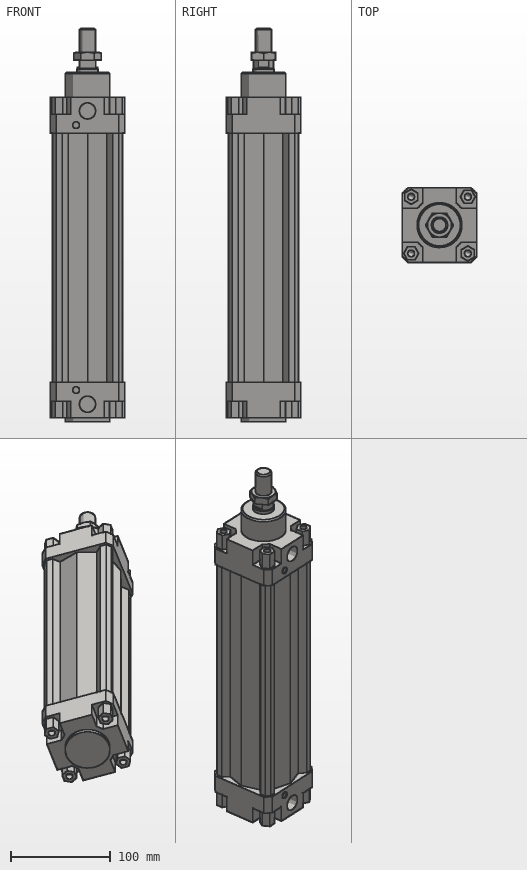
import cadquery as cq
import math

TOTAL_LENGTH = 394.0
REAR_BOSS_HEIGHT = 4.0
FRONT_CAP_TOP = 325.0
FRONT_BOSS_HEIGHT = 25.0
COLLAR_HEIGHT = 4.0
SHOULDER_BELOW_TIP = 32.0
FRONT_BOSS_TOP = FRONT_CAP_TOP + FRONT_BOSS_HEIGHT
COLLAR_TOP = FRONT_BOSS_TOP + COLLAR_HEIGHT
SHOULDER_Z = TOTAL_LENGTH - SHOULDER_BELOW_TIP

CAP_WIDTH = 75.0
CAP_HEIGHT = 36.0
CAP_CORNER_CHAMFER = 6.0
POCKET_INNER_OFFSET = 17.0
POCKET_DEPTH = 17.0
POCKET_CORNER_CHAMFER = 5.0
BOSS_DIAMETER = 45.0
BOSS_CHAMFER = 1.5
COLLAR_DIAMETER = 21.3

BOLT_OFFSET = 28.5
BOLT_ACROSS_FLATS = 13.0
BOLT_HOLE_DIAMETER = 6.7
BOLT_HOLE_DEPTH = 8.0
BOLT_HOLE_CONE_DEPTH = 2.0

PORT_DIAMETER = 16.0
PORT_DEPTH = 15.8
PORT_FROM_CAP_END = 13.8
SCREW_DIAMETER = 6.7
SCREW_DEPTH = 1.0
SCREW_X = -11.5
SCREW_FROM_CAP_END = 28.0

BARREL_WIDTH = 70.0
BARREL_CORNER_CHAMFER = 4.0
BARREL_GROOVE_OUTER = 25.2
BARREL_GROOVE_DEPTH = 6.0

ROD_DIAMETER = 20.0
ROD_ACROSS_FLATS = 17.0
FLATS_LENGTH = 7.0
COLLAR_CHAMFER = (COLLAR_DIAMETER - ROD_DIAMETER) / 2
THREAD_DIAMETER = 16.0
THREAD_CHAMFER = 1.5
NUT_ACROSS_FLATS = 24.0
NUT_HEIGHT = 8.0
NUT_CHAMFER_ANGLE = 30.0


def hexagon_corner_diameter(across_flats):
    return across_flats / math.cos(math.radians(30))


def cylinder(diameter, height, base_z):
    return cq.Workplane("XY").workplane(offset=base_z).circle(diameter / 2).extrude(height)


def hexagonal_prism(across_flats, height, base_z):
    corner_diameter = hexagon_corner_diameter(across_flats)
    return cq.Workplane("XY").workplane(offset=base_z).polygon(6, corner_diameter).extrude(height)


def make_corner_pocket():
    """Pocket tool for the +X +Y corner, open to both sides and to the outer cap end."""
    side = CAP_WIDTH / 2 - POCKET_INNER_OFFSET
    middle = POCKET_INNER_OFFSET + side / 2
    return (
        cq.Workplane("XY")
        .workplane(offset=CAP_HEIGHT - POCKET_DEPTH)
        .center(middle, middle)
        .rect(side, side)
        .extrude(POCKET_DEPTH)
        .edges("|Z and <X and <Y")
        .chamfer(POCKET_CORNER_CHAMFER)
    )


def make_tie_bolt():
    """Hexagonal bolt head with a drilled hole ending in a cone, standing in the +X +Y pocket."""
    head = hexagonal_prism(BOLT_ACROSS_FLATS, POCKET_DEPTH, CAP_HEIGHT - POCKET_DEPTH)
    hole_radius = BOLT_HOLE_DIAMETER / 2
    shoulder_z = CAP_HEIGHT - BOLT_HOLE_DEPTH
    hole = (
        cq.Workplane("XZ")
        .moveTo(0, shoulder_z - BOLT_HOLE_CONE_DEPTH)
        .lineTo(hole_radius, shoulder_z)
        .lineTo(hole_radius, CAP_HEIGHT)
        .lineTo(0, CAP_HEIGHT)
        .close()
        .revolve(360, (0, 0, 0), (0, 1, 0))
    )
    return head.cut(hole).translate((BOLT_OFFSET, BOLT_OFFSET, 0))


def make_cap():
    """Cap with its barrel side at Z = 0 and its outer end facing +Z."""
    cap = (
        cq.Workplane("XY")
        .rect(CAP_WIDTH, CAP_WIDTH)
        .extrude(CAP_HEIGHT)
        .edges("|Z")
        .chamfer(CAP_CORNER_CHAMFER)
    )
    pocket = make_corner_pocket()
    bolt = make_tie_bolt()
    for corner in range(4):
        angle = 90 * corner
        cap = cap.cut(pocket.rotate((0, 0, 0), (0, 0, 1), angle))
        cap = cap.union(bolt.rotate((0, 0, 0), (0, 0, 1), angle))
    front_face = cq.Workplane("XZ", origin=(0, -CAP_WIDTH / 2, 0))
    port = (
        front_face.center(0, CAP_HEIGHT - PORT_FROM_CAP_END)
        .circle(PORT_DIAMETER / 2)
        .extrude(-PORT_DEPTH)
    )
    screw_recess = (
        front_face.center(SCREW_X, CAP_HEIGHT - SCREW_FROM_CAP_END)
        .circle(SCREW_DIAMETER / 2)
        .extrude(-SCREW_DEPTH)
    )
    return cap.cut(port).cut(screw_recess)


def make_barrel(length):
    """Square barrel whose sides fall away from a middle ridge into a groove near each corner."""
    half = BARREL_WIDTH / 2
    chamfer_start = half - BARREL_CORNER_CHAMFER
    groove_inner = BARREL_GROOVE_OUTER - BARREL_GROOVE_DEPTH
    groove_floor = half - BARREL_GROOVE_DEPTH
    side = [
        (-chamfer_start, -half),
        (-BARREL_GROOVE_OUTER, -half),
        (-groove_inner, -groove_floor),
        (0, -half),
        (groove_inner, -groove_floor),
        (BARREL_GROOVE_OUTER, -half),
        (chamfer_start, -half),
    ]
    outline = []
    for _ in range(4):
        outline.extend(side)
        side = [(-y, x) for x, y in side]
    return cq.Workplane("XY").polyline(outline).close().extrude(length)


def make_housing():
    """Barrel with both caps, the end bosses and the collar around the rod."""
    front_cap_base = FRONT_CAP_TOP - CAP_HEIGHT
    rear_cap_top = REAR_BOSS_HEIGHT + CAP_HEIGHT
    cap = make_cap()
    front_cap = cap.translate((0, 0, front_cap_base))
    rear_cap = cap.mirror("XY").translate((0, 0, rear_cap_top))
    barrel = make_barrel(front_cap_base - rear_cap_top).translate((0, 0, rear_cap_top))
    front_boss = (
        cylinder(BOSS_DIAMETER, FRONT_BOSS_HEIGHT, FRONT_CAP_TOP).faces(">Z").chamfer(BOSS_CHAMFER)
    )
    rear_boss = cylinder(BOSS_DIAMETER, REAR_BOSS_HEIGHT, 0)
    collar = (
        cylinder(COLLAR_DIAMETER, COLLAR_HEIGHT, FRONT_BOSS_TOP).faces(">Z").chamfer(COLLAR_CHAMFER)
    )
    housing = barrel
    for piece in (front_cap, rear_cap, front_boss, rear_boss, collar):
        housing = housing.union(piece)
    return housing


def make_rod():
    """Piston rod standing on the collar, with wrench flats facing X and a plain thread shank."""
    shank = cylinder(ROD_DIAMETER, SHOULDER_Z - COLLAR_TOP, COLLAR_TOP)
    flat_middle_x = (ROD_ACROSS_FLATS + ROD_DIAMETER) / 2
    flats = (
        cq.Workplane("XY")
        .workplane(offset=SHOULDER_Z - FLATS_LENGTH)
        .pushPoints([(-flat_middle_x, 0), (flat_middle_x, 0)])
        .rect(ROD_DIAMETER, ROD_DIAMETER)
        .extrude(FLATS_LENGTH)
    )
    thread = (
        cylinder(THREAD_DIAMETER, SHOULDER_BELOW_TIP, SHOULDER_Z).faces(">Z").chamfer(THREAD_CHAMFER)
    )
    return shank.cut(flats).union(thread)


def make_nut():
    """Hexagon nut resting on the rod shoulder, its top corners cut by a cone."""
    blank = hexagonal_prism(NUT_ACROSS_FLATS, NUT_HEIGHT, SHOULDER_Z)
    corner_radius = hexagon_corner_diameter(NUT_ACROSS_FLATS) / 2
    flat_radius = NUT_ACROSS_FLATS / 2
    drop = (corner_radius - flat_radius) * math.tan(math.radians(NUT_CHAMFER_ANGLE))
    envelope = (
        cylinder(2 * corner_radius, NUT_HEIGHT, SHOULDER_Z)
        .faces(">Z")
        .chamfer(drop, corner_radius - flat_radius)
    )
    bore = cylinder(THREAD_DIAMETER, NUT_HEIGHT, SHOULDER_Z)
    return blank.intersect(envelope).cut(bore)


housing = make_housing()
rod = make_rod()
nut = make_nut()

result = cq.Compound.makeCompound([housing.val(), rod.val(), nut.val()])